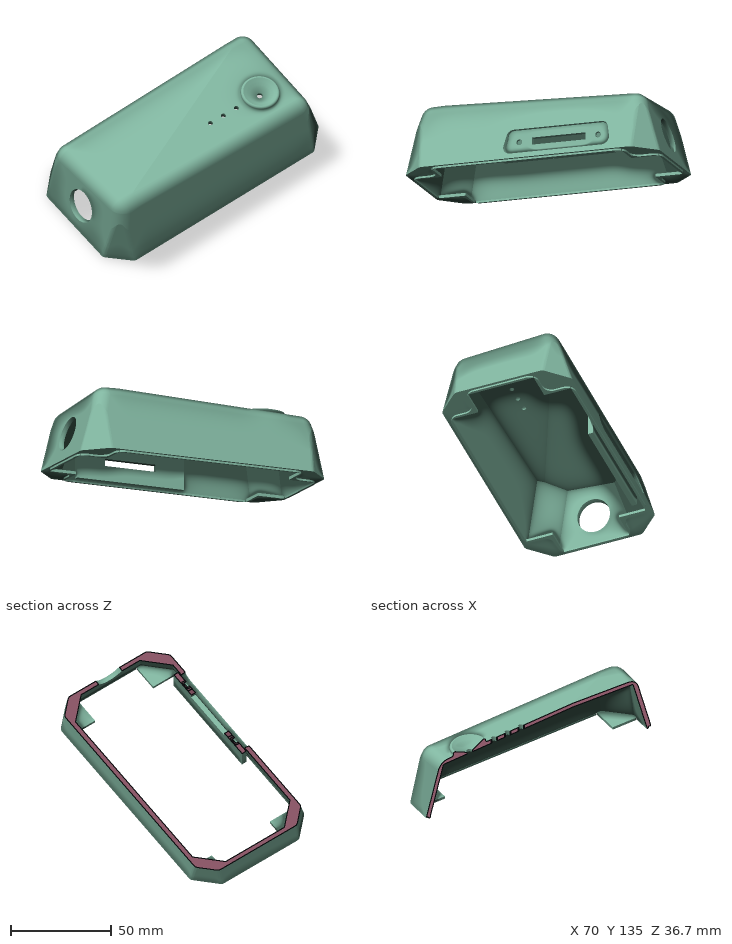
import cadquery as cq
import math

length = 135.0
width = 70.0
lip_height = 1.0
draft = 15.0
draft_slope = math.tan(math.radians(draft))
wall = 2.7
corner_flat = 11.5
corner_flat_top = 3.2
corner_flat_top_z = 27.0
corner_edge_radius = 3.0

ridge_height = 35.8
roof_pitch = 5.0
roof_edge_radius = 6.8
ridge_end_x = width / 2 - (ridge_height - lip_height) * draft_slope
ridge_end_y = length / 2 - (ridge_height - lip_height) * draft_slope
ridge_half_length = math.hypot(ridge_end_x, ridge_end_y)
roof_reach = 3 * length

lip_half_x = 33.5
lip_half_y = 66.2
notch_half_x = 19.2
notch_half_y = 51.7
lip_corner_radius = 5.0
lip_wall = 1.4
ledge_height = 1.5

port_diameter = 17.4
port_z = 15.4

row_x = 9.3
funnel_y = 41.5
boss_diameter = 19.5
boss_height = 2.4
boss_foot_radius = 1.1
boss_rim_radius = 1.0
funnel_diameter = 17.0
funnel_depth = 3.8
funnel_hole_diameter = 3.0
first_light_y = 26.7
light_pitch = 8.1
light_count = 3
light_diameter = 3.5
light_bore_diameter = 2.4

recess_y = -15.9
recess_floor_x = -29.4
recess_bottom_z = 4.5
recess_top_z = 16.6
recess_bottom_width = 55.9
recess_top_width = 52.1
recess_corner_radius = 3.2
recess_draft = 10.0
recess_reach = 6.8
pad_thickness = 2.7
pad_margin = 1.6

connector_z = 10.4
connector_length = 34.2
connector_height = 9.5
connector_radius = 2.7
slot_length = 28.4
slot_height = 3.6
insert_spacing = 41.8
insert_diameter = 4.6
insert_bore_diameter = 3.0
insert_length = 2.0
insert_bore_depth = 1.4


def roof_plane(side, x=0.0, y=0.0):
    """Plane of one roof half at (x, y); side +1 is the half towards +X +Y, -1 the other."""
    across_x = ridge_end_y / ridge_half_length
    across_y = ridge_end_x / ridge_half_length
    pitch = math.radians(roof_pitch)
    drop = side * (across_x * x + across_y * y) * math.tan(pitch)
    return cq.Plane(
        origin=(x, y, ridge_height - drop),
        xDir=(-ridge_end_x, ridge_end_y, 0),
        normal=(side * math.sin(pitch) * across_x, side * math.sin(pitch) * across_y, math.cos(pitch)),
    )


def drafted_block(inset, bottom_z):
    """Rectangular block that follows the walls at a given inset."""
    spread = 2 * ((lip_height - bottom_z) * draft_slope - inset)
    base = cq.Workplane("XY", origin=(0, 0, bottom_z))
    return base.rect(width + spread, length + spread).extrude(1.3 * ridge_height, taper=draft)


def cut_above_roof(block, side, drop=0.0):
    above = cq.Workplane(roof_plane(side)).workplane(offset=-drop)
    return block.cut(above.rect(roof_reach, roof_reach).extrude(roof_reach))


def rounded_half(side):
    """Block under one roof plane, with its corners and roof edges rounded alike."""
    block = cut_above_roof(drafted_block(0, lip_height), side)
    upper = cq.selectors.BoxSelector((-width, -length, wall), (width, length, 2 * ridge_height))
    return block.edges(upper).fillet(roof_edge_radius)


def flat_section(z, flat):
    """Outline of the walls at height z, with corner flats whose ends are rounded."""
    inset = 2 * (z - lip_height) * draft_slope
    slab = cq.Workplane("XY", origin=(0, 0, z)).rect(width - inset, length - inset).extrude(1.4)
    slab = slab.edges("|Z").chamfer(flat).edges("|Z").fillet(corner_edge_radius)
    return slab.faces("<Z").wires().val()


def corner_flat_body():
    """Walls with corner flats that narrow upwards, then keep their width."""
    base = flat_section(lip_height, corner_flat)
    middle = flat_section(corner_flat_top_z, corner_flat_top)
    top = flat_section(1.1 * ridge_height, corner_flat_top)
    lower = cq.Workplane(cq.Solid.makeLoft([base, middle], True))
    return lower.union(cq.Workplane(cq.Solid.makeLoft([middle, top], True)))


def lip():
    long_arm = cq.Workplane("XY").rect(2 * notch_half_x, 2 * lip_half_y).extrude(lip_height)
    wide_arm = cq.Workplane("XY").rect(2 * lip_half_x, 2 * notch_half_y).extrude(lip_height)
    return long_arm.union(wide_arm).edges("|Z").fillet(lip_corner_radius)


def cavity():
    """Hollow open at the bottom, with a ledge left over each notch of the lip."""
    hollow = drafted_block(wall, 0)
    corners = hollow.edges("not(#Z or |X or |Y)")
    hollow = corners.chamfer(corner_flat)
    for side in (1, -1):
        hollow = cut_above_roof(hollow, side, wall)
    ledge_side = lip_half_x
    ledge_x = notch_half_x - lip_wall + ledge_side / 2
    ledge_y = notch_half_y - lip_wall + ledge_side / 2
    ledges = (
        cq.Workplane("XY")
        .rect(2 * ledge_x, 2 * ledge_y, forConstruction=True)
        .vertices()
        .rect(ledge_side, ledge_side)
        .extrude(ledge_height)
    )
    rim = cq.Workplane("XY").rect(width, length).rect(2 * (lip_half_x - lip_wall), 2 * (lip_half_y - lip_wall))
    return hollow.cut(ledges).cut(rim.extrude(lip_height))


def recess_plane(x):
    """Plane facing -X, centred on the connector; its local x runs towards -Y."""
    return cq.Plane(origin=(x, recess_y, connector_z), xDir=(0, -1, 0), normal=(-1, 0, 0))


def recess():
    low = recess_bottom_z - connector_z
    high = recess_top_z - connector_z
    bottom = recess_bottom_width / 2
    top = recess_top_width / 2
    outline = (
        cq.Sketch()
        .polygon([(-bottom, low), (bottom, low), (top, high), (-top, high), (-bottom, low)])
        .vertices()
        .fillet(recess_corner_radius)
    )
    return cq.Workplane(recess_plane(recess_floor_x)).placeSketch(outline).extrude(
        recess_reach, taper=-recess_draft
    )


def recess_pad():
    """Thick wall behind the recess, down to the housing base."""
    top_z = recess_top_z + pad_margin
    pad = cq.Workplane("XY", origin=(recess_floor_x, recess_y, lip_height)).box(
        pad_thickness, recess_bottom_width + 2 * pad_margin, top_z - lip_height, centered=(False, True, False)
    )
    return pad.intersect(drafted_block(0, lip_height))


def connector_block():
    block = cq.Workplane(recess_plane(recess_floor_x)).rect(connector_length, connector_height)
    return block.extrude(-pad_thickness).edges("|X").fillet(connector_radius)


def build_connector():
    slot = cq.Workplane(recess_plane(recess_floor_x)).rect(slot_length, slot_height)
    return connector_block().cut(slot.extrude(-pad_thickness))


def insert_cylinder(index, diameter, depth):
    centre = cq.Workplane(recess_plane(recess_floor_x)).center((index - 0.5) * insert_spacing, 0)
    return centre.circle(diameter / 2).extrude(-depth)


def build_insert(index):
    body = insert_cylinder(index, insert_diameter, insert_length)
    return body.cut(insert_cylinder(index, insert_bore_diameter, insert_bore_depth))


def light_cylinder(index, diameter):
    plane = roof_plane(1, row_x, first_light_y - index * light_pitch)
    return cq.Workplane(plane).circle(diameter / 2).extrude(-wall)


def build_light(index):
    return light_cylinder(index, light_diameter).cut(light_cylinder(index, light_bore_diameter))


def boss():
    """Boss revolved about the roof normal, with a flared foot and a rounded rim."""
    radius = boss_diameter / 2
    foot = boss_foot_radius
    rim = boss_rim_radius
    corner = math.sqrt(0.5)
    return (
        cq.Workplane(roof_plane(1, row_x, funnel_y))
        .transformed(rotate=(90, 0, 0))
        .moveTo(0, -wall)
        .lineTo(radius + foot, -wall)
        .lineTo(radius + foot, 0)
        .threePointArc((radius + foot * (1 - corner), foot * (1 - corner)), (radius, foot))
        .lineTo(radius, boss_height - rim)
        .threePointArc(
            (radius - rim * (1 - corner), boss_height - rim * (1 - corner)), (radius - rim, boss_height)
        )
        .lineTo(0, boss_height)
        .close()
        .revolve(360, (0, 0, 0), (0, 1, 0))
    )


def funnel():
    """Cone sunk into the boss, ending in a small hole through the roof."""
    rim = cq.Workplane(roof_plane(1, row_x, funnel_y)).workplane(offset=boss_height)
    cone = cq.Solid.makeCone(
        funnel_diameter / 2,
        funnel_hole_diameter / 2,
        funnel_depth,
        pnt=rim.plane.origin,
        dir=rim.plane.zDir * -1,
    )
    hole = rim.circle(funnel_hole_diameter / 2).extrude(-2 * (boss_height + wall))
    return hole.union(cq.Workplane(cone))


def build_housing():
    shell = rounded_half(1).intersect(corner_flat_body()).intersect(rounded_half(-1))
    body = shell.union(lip()).cut(cavity())
    body = body.union(recess_pad()).cut(recess())
    body = body.union(boss()).cut(funnel())
    port = cq.Workplane("XZ", origin=(0, 0, port_z)).circle(port_diameter / 2).extrude(length)
    body = body.cut(port).cut(connector_block())
    for index in (0, 1):
        body = body.cut(insert_cylinder(index, insert_diameter, insert_length))
    for index in range(light_count):
        body = body.cut(light_cylinder(index, light_diameter))
    return body


housing = build_housing()
connector = build_connector()
inserts = [build_insert(index) for index in (0, 1)]
lights = [build_light(index) for index in range(light_count)]

result = cq.Compound.makeCompound(
    [housing.val(), connector.val()]
    + [insert.val() for insert in inserts]
    + [light.val() for light in lights]
)